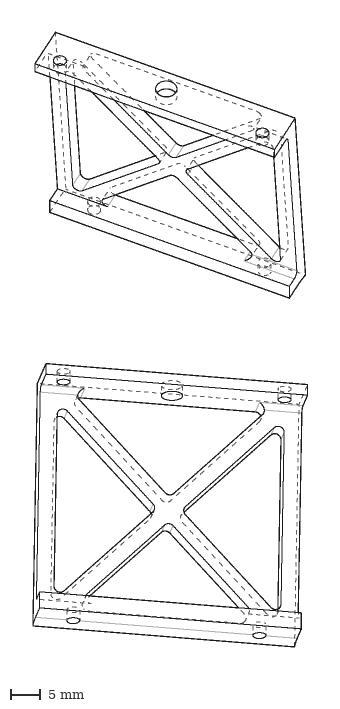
import cadquery as cq
import math

width = 45.0
height = 43.0
flange_depth = 8.0
flange_thickness = 2.0
foot_front = 5.75
foot_thickness = 3.0
back_lip_y = 12.07
lip_drop = 0.46
lip_length = 2.5
wall_thickness = 3.0
corner_radius = 1.0

upright_width = 3.0
brace_width = 3.0
brace_bottom = 1.0

center_hole_diameter = 3.6
center_hole_y = 4.5
side_hole_diameter = 2.2
side_hole_y = 2.5
side_hole_x = 19.0
foot_hole_diameter = 2.2
foot_hole_y = 9.6
foot_hole_x = 16.0
foot_hole_depth = 2.0

half_width = width / 2
flange_underside = height - flange_thickness
lean = (back_lip_y - flange_depth) / (height + lip_drop)
wall_depth_y = wall_thickness * math.hypot(1, lean)
lip_radius = (lip_length**2 + lip_drop**2) / (2 * lip_drop)
window_half_width = half_width - upright_width
brace_top = flange_underside
brace_center_z = (brace_top + brace_bottom) / 2
brace_slope = (brace_top - brace_center_z) / window_half_width
brace_half_height = brace_width / 2 * math.hypot(1, brace_slope)


def wall_front_y(z):
    """Y of the wall's front face at height z."""
    return flange_depth + lean * (height - z) - wall_depth_y


def profile_half(x_start, foot_fillet):
    """Half the bracket's width: the side profile extruded along +X from x_start."""
    half = (
        cq.Workplane("YZ", origin=(x_start, 0, 0))
        .moveTo(0, height)
        .lineTo(flange_depth, height)
        .lineTo(back_lip_y, -lip_drop)
        .radiusArc((back_lip_y - lip_length, 0), -lip_radius)
        .lineTo(foot_front, 0)
        .lineTo(foot_front, foot_thickness)
        .lineTo(wall_front_y(foot_thickness), foot_thickness)
        .lineTo(wall_front_y(flange_underside), flange_underside)
        .lineTo(0, flange_underside)
        .close()
        .extrude(half_width)
    )
    corner_heights = [flange_underside]
    if foot_fillet:
        corner_heights.append(foot_thickness)
    for z in corner_heights:
        corner = (x_start + half_width / 2, wall_front_y(z), z)
        half = half.edges(cq.NearestToPointSelector(corner)).fillet(corner_radius)
    return half


def window(corners):
    """Triangular cutter with rounded corners, running along Y through the wall."""
    return (
        cq.Workplane("XZ")
        .polyline(corners)
        .close()
        .extrude(-2 * back_lip_y)
        .edges("|Y")
        .fillet(corner_radius)
    )


def end_window(edge_z):
    """Window between the brace and a horizontal edge at height edge_z."""
    direction = math.copysign(1, edge_z - brace_center_z)
    apex_z = brace_center_z + direction * brace_half_height
    corner_x = abs(edge_z - apex_z) / brace_slope
    return window([(0, apex_z), (corner_x, edge_z), (-corner_x, edge_z)])


def side_window(side):
    """Window between the brace and the upright on the given side (-1 or 1)."""
    apex_x = brace_half_height / brace_slope
    half_height = (window_half_width - apex_x) * brace_slope
    upright_x = side * window_half_width
    return window([
        (side * apex_x, brace_center_z),
        (upright_x, brace_center_z + half_height),
        (upright_x, brace_center_z - half_height),
    ])


def vertical_hole(x, y, diameter, bottom, top):
    """Cylindrical cutter between two heights."""
    return (
        cq.Workplane("XY", origin=(x, y, bottom))
        .circle(diameter / 2)
        .extrude(top - bottom)
    )


result = profile_half(-half_width, False).union(profile_half(0, True)).clean()

result = result.cut(end_window(flange_underside)).cut(end_window(foot_thickness))
for side in (-1, 1):
    result = result.cut(side_window(side))

result = result.cut(
    vertical_hole(0, center_hole_y, center_hole_diameter, flange_underside, height)
)
for side in (-1, 1):
    result = result.cut(
        vertical_hole(side * side_hole_x, side_hole_y, side_hole_diameter, flange_underside, height)
    )
    result = result.cut(
        vertical_hole(side * foot_hole_x, foot_hole_y, foot_hole_diameter, -lip_drop, foot_hole_depth)
    )